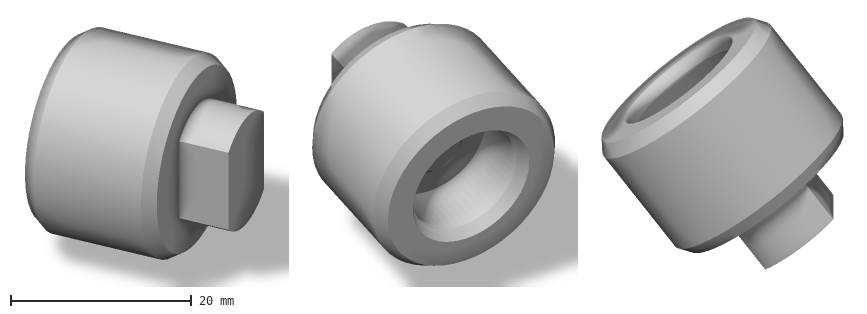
import cadquery as cq

body_diameter = 23.5
body_length = 16.0
bevel_length = 1.48
bevel_depth = 1.0

bore_diameter = 13.5
mouth_diameter = 15.05
mouth_length = 1.35
bore_depth = 8.1

pin_diameter = 7.5
pin_height = 1.0
pin_bevel = 0.8

stub_diameter = 13.8
stub_length = 6.0
stub_across_flats = 9.5


def revolve_about_x(profile_points):
    """Revolve a closed (x, radius) profile around the X axis."""
    profile = cq.Workplane("XY").polyline(profile_points).close()
    return profile.revolve(360, (0, 0, 0), (1, 0, 0))


def make_body():
    body_radius = body_diameter / 2
    return revolve_about_x([
        (0, 0),
        (0, body_radius - bevel_depth),
        (bevel_length, body_radius),
        (body_length - bevel_length, body_radius),
        (body_length, body_radius - bevel_depth),
        (body_length, 0),
    ])


def make_bore():
    return revolve_about_x([
        (0, 0),
        (0, mouth_diameter / 2),
        (mouth_length, bore_diameter / 2),
        (bore_depth, bore_diameter / 2),
        (bore_depth, 0),
    ])


def make_pin():
    pin_radius = pin_diameter / 2
    pin_tip = bore_depth - pin_height
    return revolve_about_x([
        (pin_tip, 0),
        (pin_tip, pin_radius - pin_bevel),
        (pin_tip + pin_bevel, pin_radius),
        (bore_depth, pin_radius),
        (bore_depth, 0),
    ])


def make_stub():
    face = cq.Workplane("YZ").workplane(offset=body_length)
    flats = face.rect(stub_across_flats, stub_diameter).extrude(stub_length)
    return face.circle(stub_diameter / 2).extrude(stub_length).intersect(flats)


result = make_body().cut(make_bore()).union(make_pin()).union(make_stub())